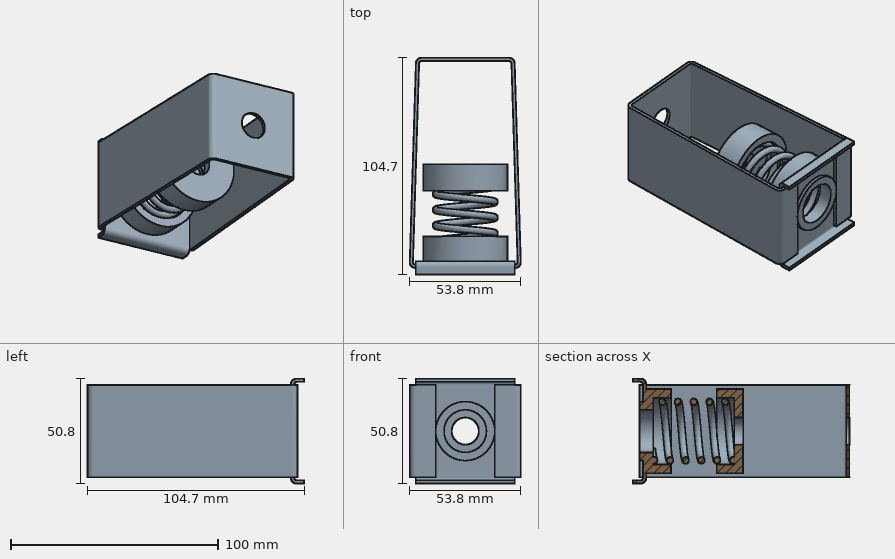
import cadquery as cq

sheet = 1.7
bend_outer = 2.8
bend_inner = bend_outer - sheet

frame_depth = 101.6
frame_height = 44.6
front_width = 54.0
back_width = 47.7
slot_width = 28.5
back_hole_diameter = 13.0

plate_width = 47.9
plate_height = 50.8
lip_reach = 3.1
plate_front = sheet
plate_back = plate_front + sheet

cup_diameter = 40.9
pocket_diameter = 32.3
front_bore_diameter = 20.5
rear_bore_diameter = 13.0
pocket_depth = 8.5
front_cup_end = 15.3
rear_cup_start = 37.3
rear_cup_length = 12.9
front_floor = front_cup_end - pocket_depth
rear_floor = rear_cup_start + pocket_depth

wire_diameter = 3.4
coil_diameter = 28.3
two_turn_rise = 15.2
pitch = two_turn_rise / 2
left_crossing = 35.7
end_embed = 0.6


def cylinder_y(diameter, start, end):
    """Solid cylinder on the Y axis between two Y positions."""
    return cq.Workplane("XZ", origin=(0, start, 0)).circle(diameter / 2).extrude(start - end)


def make_frame():
    """Bent strip with tapered sides, a slotted front and a hole in the back."""
    half_front = front_width / 2
    half_back = back_width / 2
    outline = [
        (-half_front, 0),
        (half_front, 0),
        (half_back, frame_depth),
        (-half_back, frame_depth),
    ]
    outer = cq.Workplane("XY").polyline(outline).close().extrude(frame_height / 2, both=True)
    inner = (
        cq.Workplane("XY").polyline(outline).close().offset2D(-sheet)
        .extrude(frame_height / 2, both=True)
        .edges("|Z").fillet(bend_inner)
    )
    frame = outer.edges("|Z").fillet(bend_outer).cut(inner)
    slot = cq.Workplane("XY").box(slot_width, 2 * sheet, frame_height)
    back_hole = cylinder_y(back_hole_diameter, frame_depth - 2 * sheet, frame_depth + sheet)
    return frame.cut(slot).cut(back_hole)


def make_plate():
    """Channel plate whose top and bottom lips turn forward."""
    depth = plate_back + lip_reach
    channel = (
        cq.Workplane("XY").box(plate_width, depth, plate_height)
        .translate((0, plate_back - depth / 2, 0))
        .edges("|X and >Y").fillet(bend_outer)
    )
    hollow_depth = depth - sheet
    hollow = (
        cq.Workplane("XY").box(plate_width, hollow_depth, plate_height - 2 * sheet)
        .translate((0, plate_front - hollow_depth / 2, 0))
        .edges("|X and >Y").fillet(bend_inner)
    )
    return channel.cut(hollow)


def make_spring():
    """Left-hand round-wire coil that ends inside the two pocket floors."""
    start = front_floor - end_embed
    length = rear_floor + end_embed - start
    radius = coil_diameter / 2
    path = cq.Wire.makeHelix(pitch, length, radius, lefthand=True)
    profile = cq.Workplane("XZ", origin=(radius, 0, 0)).circle(wire_diameter / 2)
    coil = profile.sweep(cq.Workplane(obj=path), isFrenet=True)
    coil = coil.rotate((0, 0, 0), (1, 0, 0), -90)
    turns_to_left = (left_crossing - start) / pitch
    start_angle = 180 + 360 * turns_to_left
    return coil.rotate((0, 0, 0), (0, 1, 0), start_angle).translate((0, start, 0))


frame = make_frame()
plate = make_plate()
spring = make_spring()

front_cup = (
    cylinder_y(cup_diameter, plate_back, front_cup_end)
    .union(cylinder_y(slot_width, 0, plate_back))
    .cut(cylinder_y(pocket_diameter, front_floor, front_cup_end))
)
rear_cup_end = rear_cup_start + rear_cup_length
rear_cup = (
    cylinder_y(cup_diameter, rear_cup_start, rear_cup_end)
    .cut(cylinder_y(pocket_diameter, rear_cup_start, rear_floor))
)
front_bore = cylinder_y(front_bore_diameter, 0, front_cup_end)
rear_bore = cylinder_y(rear_bore_diameter, rear_cup_start, rear_cup_end)

result = (
    frame.union(plate).union(front_cup).union(rear_cup)
    .cut(front_bore).cut(rear_bore)
    .union(spring)
)